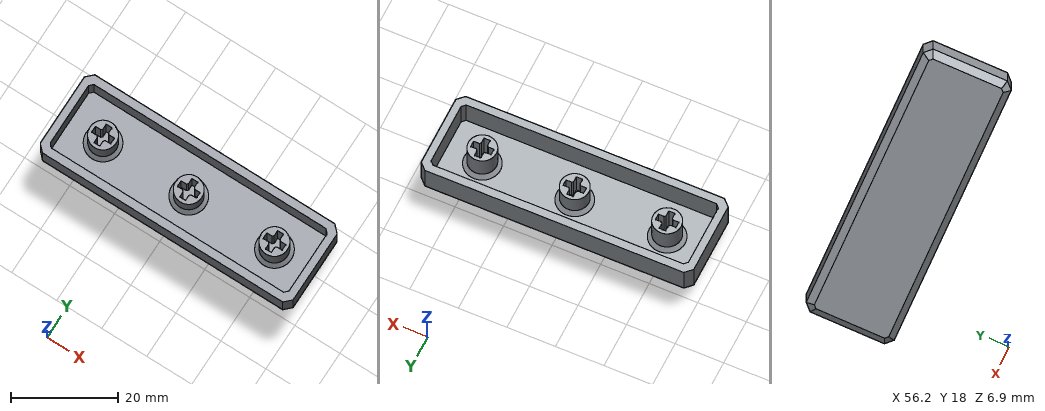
import cadquery as cq

length = 56.15
width = 18.0
height = 6.9
outer_chamfer = 1.4
end_wall = 1.6
side_wall = 1.7
inner_chamfer = 0.75
floor_thickness = 1.5

stem_pitch = 19.05
stem_diameter = 5.8
outer_stem_top = height
middle_stem_drop = 0.8
middle_stem_top = height - middle_stem_drop
stems = [(-stem_pitch, outer_stem_top), (0, middle_stem_top), (stem_pitch, outer_stem_top)]
foot_diameter = 7.4
foot_height = (foot_diameter - stem_diameter) / 2

cross_span = 4.2
cross_arm = 1.3
cross_corner_chamfer = 0.3


def make_shell():
    """Tray with chamfered upright corners and a chamfered bottom edge."""
    body = cq.Workplane("XY").box(length, width, height, centered=(True, True, False))
    body = body.edges("|Z").chamfer(outer_chamfer)
    body = body.faces("<Z").edges().chamfer(outer_chamfer)
    cavity = (
        cq.Workplane("XY")
        .workplane(offset=floor_thickness)
        .rect(length - 2 * end_wall, width - 2 * side_wall)
        .extrude(height - floor_thickness)
        .edges("|Z")
        .chamfer(inner_chamfer)
    )
    return body.cut(cavity)


def make_stem(stem_top):
    """Round stem on the Z axis with its foot, rooted inside the floor."""
    root = floor_thickness / 2
    stem_radius = stem_diameter / 2
    foot_radius = foot_diameter / 2
    profile = [
        (0, root),
        (foot_radius, root),
        (foot_radius, floor_thickness),
        (stem_radius, floor_thickness + foot_height),
        (stem_radius, stem_top),
        (0, stem_top),
    ]
    return cq.Workplane("XZ").polyline(profile).close().revolve(360, (0, 0, 0), (0, 1, 0))


def make_socket(stem_top):
    """Cross on the Z axis with its four inner corners bevelled."""
    depth = stem_top - floor_thickness
    base = cq.Workplane("XY").workplane(offset=floor_thickness)
    cross = base.rect(cross_span, cross_arm).extrude(depth)
    cross = cross.union(base.rect(cross_arm, cross_span).extrude(depth))
    inner_corners = cq.selectors.BoxSelector(
        (-cross_arm, -cross_arm, 0), (cross_arm, cross_arm, height)
    )
    return cross.edges("|Z").edges(inner_corners).chamfer(cross_corner_chamfer)


result = make_shell()
for stem_x, stem_top in stems:
    result = result.union(make_stem(stem_top).translate((stem_x, 0, 0)))
for stem_x, stem_top in stems:
    result = result.cut(make_socket(stem_top).translate((stem_x, 0, 0)))